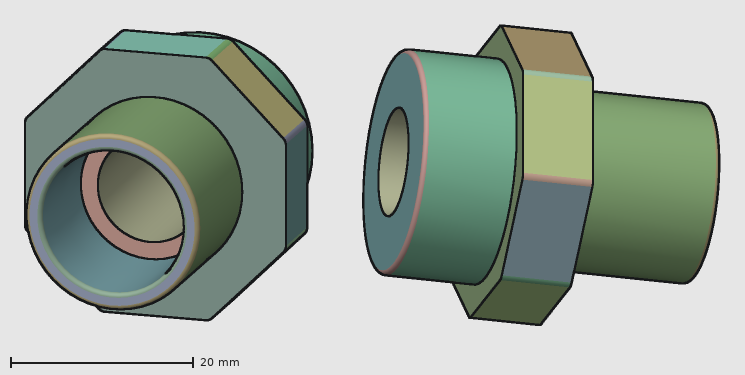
import cadquery as cq
import math

SPIGOT_LENGTH = 16.0
HEAD_LENGTH = 8.0
COLLAR_LENGTH = 10.5
TOTAL_LENGTH = SPIGOT_LENGTH + HEAD_LENGTH + COLLAR_LENGTH

HEAD_SIDES = 8
HEAD_ACROSS_FLATS = 30.0
HEAD_CORNER_RADIUS = 1.0

SPIGOT_DIAMETER = 20.0
COLLAR_DIAMETER = 25.0
RIM_RADIUS = 0.5

SOCKET_MOUTH_DIAMETER = 16.2
SOCKET_FLOOR_DIAMETER = 15.9
SOCKET_DEPTH = 14.0
THROUGH_DIAMETER = 12.0


def plane_at(station):
    """Plane across the pipe axis whose normal points from the spigot to the collar."""
    return cq.Plane(origin=(0, station, 0), xDir=(1, 0, 0), normal=(0, 1, 0))


def make_spigot():
    """Plain round end with a rounded outer rim at its mouth."""
    spigot = cq.Workplane(plane_at(0)).circle(SPIGOT_DIAMETER / 2).extrude(SPIGOT_LENGTH)
    return spigot.faces("<Y").edges().fillet(RIM_RADIUS)


def make_head():
    """Octagon with flats on the X and Z directions and rounded corners."""
    half_side_angle = math.pi / HEAD_SIDES
    across_corners = HEAD_ACROSS_FLATS / math.cos(half_side_angle)
    head = (
        cq.Workplane(plane_at(SPIGOT_LENGTH))
        .polygon(HEAD_SIDES, across_corners)
        .extrude(HEAD_LENGTH)
        .rotate((0, 0, 0), (0, 1, 0), math.degrees(half_side_angle))
    )
    return head.edges("|Y").fillet(HEAD_CORNER_RADIUS)


def make_collar():
    """Larger round end with a rounded outer rim."""
    collar = (
        cq.Workplane(plane_at(SPIGOT_LENGTH + HEAD_LENGTH))
        .circle(COLLAR_DIAMETER / 2)
        .extrude(COLLAR_LENGTH)
    )
    return collar.faces(">Y").edges().fillet(RIM_RADIUS)


def cut_socket(body):
    """Tapered socket open at the spigot's mouth, with a rounded lip."""
    wall_lean = (SOCKET_MOUTH_DIAMETER - SOCKET_FLOOR_DIAMETER) / 2
    taper = math.degrees(math.atan(wall_lean / SOCKET_DEPTH))
    socket = (
        cq.Workplane(plane_at(0))
        .circle(SOCKET_MOUTH_DIAMETER / 2)
        .extrude(SOCKET_DEPTH, taper=taper)
    )
    hollow = body.cut(socket)
    lip = hollow.faces("<Y").edges(cq.selectors.RadiusNthSelector(0))
    return lip.fillet(RIM_RADIUS)


def cut_through_bore(body):
    """Bore running the whole length of the fitting."""
    bore = cq.Workplane(plane_at(0)).circle(THROUGH_DIAMETER / 2).extrude(TOTAL_LENGTH)
    return body.cut(bore)


fitting = make_spigot().union(make_head()).union(make_collar())
result = cut_through_bore(cut_socket(fitting))